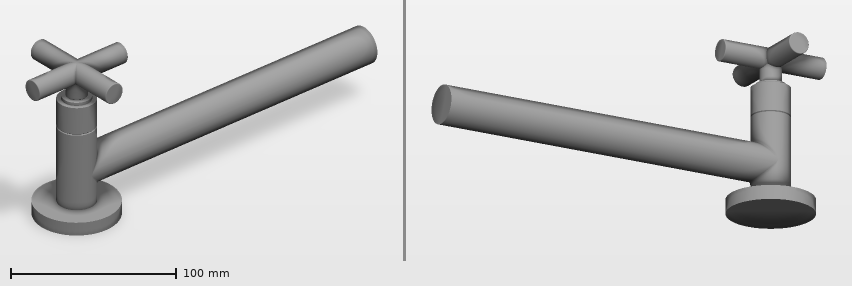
import cadquery as cq

overall_length = 263.5
overall_height = 105.7

flange_diameter = 54.8
flange_thickness = 9.0

tube_diameter = 24.8
column_top = 61.7
column_edge_chamfer = 0.5
spout_diameter = 24.5
spout_axis_height = 30.8
joint_fillet = 1.3

bonnet_top = 80.4
bonnet_edge_chamfer = 0.5
ring_diameter = 19.0
ring_height = 2.0

handle_span = 70.0
bar_diameter = 13.7
bar_end_fillet = 0.5
stem_edge_chamfer = 0.5

ring_top = bonnet_top + ring_height
handle_axis_height = overall_height - bar_diameter / 2
spout_end = overall_length - handle_span / 2


def upright_cylinder(diameter, bottom, top):
    return cq.Workplane("XY").workplane(offset=bottom).circle(diameter / 2).extrude(top - bottom)


def make_flange():
    return upright_cylinder(flange_diameter, 0, flange_thickness)


def make_column_with_spout():
    column = upright_cylinder(tube_diameter, flange_thickness, column_top)
    column = column.faces(">Z").chamfer(column_edge_chamfer)
    spout = (
        cq.Workplane("XZ")
        .center(0, spout_axis_height)
        .circle(spout_diameter / 2)
        .extrude(-spout_end)
    )
    joint_zone = cq.selectors.BoxSelector(
        (-tube_diameter, 0, spout_axis_height - tube_diameter / 2),
        (tube_diameter, tube_diameter / 2, spout_axis_height + tube_diameter / 2),
    )
    return column.union(spout).edges(joint_zone).edges("not %LINE").fillet(joint_fillet)


def make_bonnet():
    sleeve = upright_cylinder(tube_diameter, column_top, bonnet_top)
    sleeve = sleeve.faces("<Z").chamfer(bonnet_edge_chamfer)
    ring = upright_cylinder(ring_diameter, bonnet_top, ring_top)
    return sleeve.union(ring)


def make_handle_bar(plane_name):
    bar = (
        cq.Workplane(plane_name)
        .center(0, handle_axis_height)
        .circle(bar_diameter / 2)
        .extrude(handle_span / 2, both=True)
    )
    return bar.edges("%CIRCLE").fillet(bar_end_fillet)


def make_handle():
    stem = upright_cylinder(bar_diameter, ring_top, handle_axis_height)
    stem = stem.faces("<Z").chamfer(stem_edge_chamfer)
    return make_handle_bar("YZ").union(make_handle_bar("XZ")).union(stem)


flange = make_flange()
column_with_spout = make_column_with_spout()
bonnet = make_bonnet()
handle = make_handle()

result = cq.Compound.makeCompound(
    [flange.val(), column_with_spout.val(), bonnet.val(), handle.val()]
)